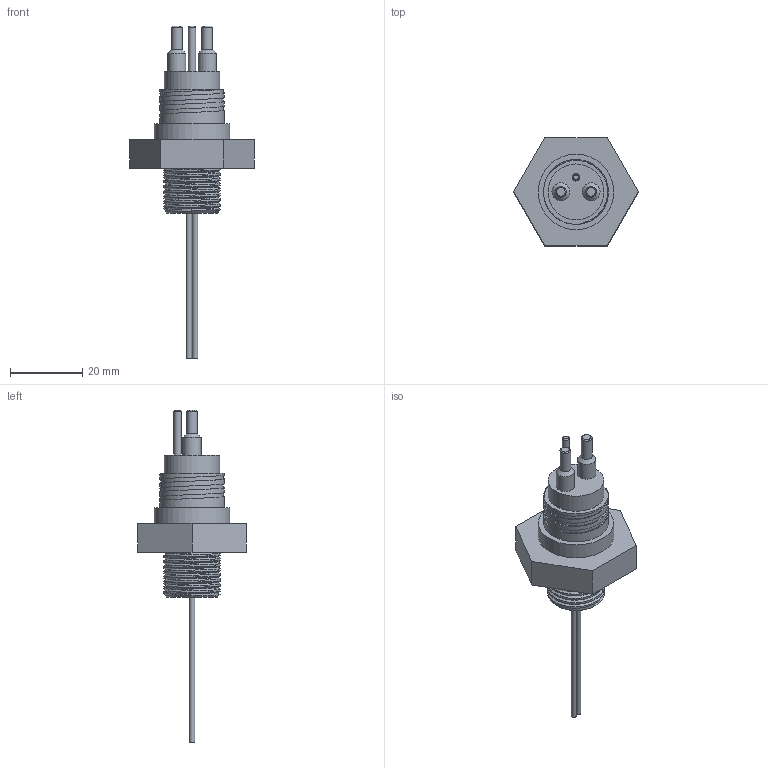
import cadquery as cq
import math


hex_across_flats = 30.0
hex_height = 8.0
collar_diameter = 21.0
collar_top = 12.4

body_diameter = 18.0
body_top = 21.9
body_thread_pitch = 2.42
body_groove_width = 1.1
body_groove_depth = 0.25
body_groove_start = 14.85
body_groove_start_angle = 90.0

insulator_diameter = 15.5
insulator_top = 27.0
contact_spacing = 8.4
contact_base_diameter = 5.0
contact_base_top = 33.0
contact_base_chamfer = 1.0
contact_diameter = 3.0
ground_pin_diameter = 2.0
ground_pin_offset = 4.0
pin_tip_chamfer = 0.3
pin_top = 39.5

stud_core_diameter = 14.64
stud_length = 12.5
stud_thread_diameter = 15.8
stud_thread_pitch = 1.43
stud_ridge_base = 1.34
stud_ridge_crest = 0.5
stud_ridge_embedding = 0.04
stud_tip_chamfer = 1.1
stud_thread_start_angle = 270.0

total_length = 92.2
wire_diameter = 1.5
wire_spacing = 1.75
wire_bottom = pin_top - total_length

overlap = 0.3


def cylinder(diameter, bottom, top, x=0.0, y=0.0):
    """Upright cylinder between two heights."""
    return cq.Workplane("XY", origin=(x, y, bottom)).circle(diameter / 2).extrude(top - bottom)


def helical_sweep(profile, pitch, height, radius, start_z, start_angle):
    """Right-handed helical solid; the profile is (radius, height) points about the start height."""
    helix = cq.Wire.makeHelix(pitch, height, radius)
    swept = cq.Workplane("XZ").polyline(profile).close().sweep(cq.Workplane(helix), isFrenet=True)
    return swept.rotate((0, 0, 0), (0, 0, 1), start_angle).translate((0, 0, start_z))


def threaded_body():
    """Upper body with a shallow flat-bottomed helical groove running out at its top."""
    body_radius = body_diameter / 2
    groove_floor = body_radius - body_groove_depth
    half_width = body_groove_width / 2
    profile = [
        (groove_floor, -half_width),
        (body_radius + overlap, -half_width),
        (body_radius + overlap, half_width),
        (groove_floor, half_width),
    ]
    groove_height = body_top + half_width - body_groove_start
    groove = helical_sweep(
        profile, body_thread_pitch, groove_height, body_radius, body_groove_start, body_groove_start_angle
    )
    return cylinder(body_diameter, hex_height, body_top).cut(groove)


def threaded_stud():
    """Lower stud: core with a helical ridge, trimmed to a chamfered envelope."""
    core_radius = stud_core_diameter / 2
    crest_radius = stud_thread_diameter / 2
    flank_slope = (stud_ridge_base - stud_ridge_crest) / 2 / (crest_radius - core_radius)
    root_radius = core_radius - stud_ridge_embedding
    root_half_width = stud_ridge_base / 2 + flank_slope * stud_ridge_embedding
    profile = [
        (root_radius, -root_half_width),
        (crest_radius, -stud_ridge_crest / 2),
        (crest_radius, stud_ridge_crest / 2),
        (root_radius, root_half_width),
    ]
    thread_bottom = -stud_length + stud_ridge_crest
    thread_height = -thread_bottom
    ridge = helical_sweep(
        profile, stud_thread_pitch, thread_height, core_radius, thread_bottom, stud_thread_start_angle
    )
    envelope = cylinder(stud_thread_diameter + overlap, -stud_length, overlap)
    envelope = envelope.faces("<Z").chamfer(stud_tip_chamfer)
    core = cylinder(stud_core_diameter, -stud_length, overlap)
    return core.union(ridge).intersect(envelope)


def pin(diameter, x, y):
    """Contact pin with a chamfered tip, rooted in the insulator."""
    return cylinder(diameter, insulator_top - overlap, pin_top, x, y).faces(">Z").chamfer(pin_tip_chamfer)


def main_contact(x):
    """Contact pin standing on a wider base with a chamfered shoulder."""
    base = cylinder(contact_base_diameter, insulator_top - overlap, contact_base_top, x)
    return base.faces(">Z").chamfer(contact_base_chamfer).union(pin(contact_diameter, x, 0))


hex_corner_diameter = hex_across_flats / math.cos(math.pi / 6)
result = cq.Workplane("XY").polygon(6, hex_corner_diameter).extrude(hex_height)
result = result.union(cylinder(collar_diameter, 0, collar_top))
result = result.union(threaded_body())
result = result.union(cylinder(insulator_diameter, hex_height, insulator_top))
result = result.union(threaded_stud())
result = result.union(pin(ground_pin_diameter, 0, ground_pin_offset))
for side in (-1, 1):
    result = result.union(main_contact(side * contact_spacing / 2))
    result = result.union(cylinder(wire_diameter, wire_bottom, -stud_length + overlap, side * wire_spacing / 2))
result = result.solids()